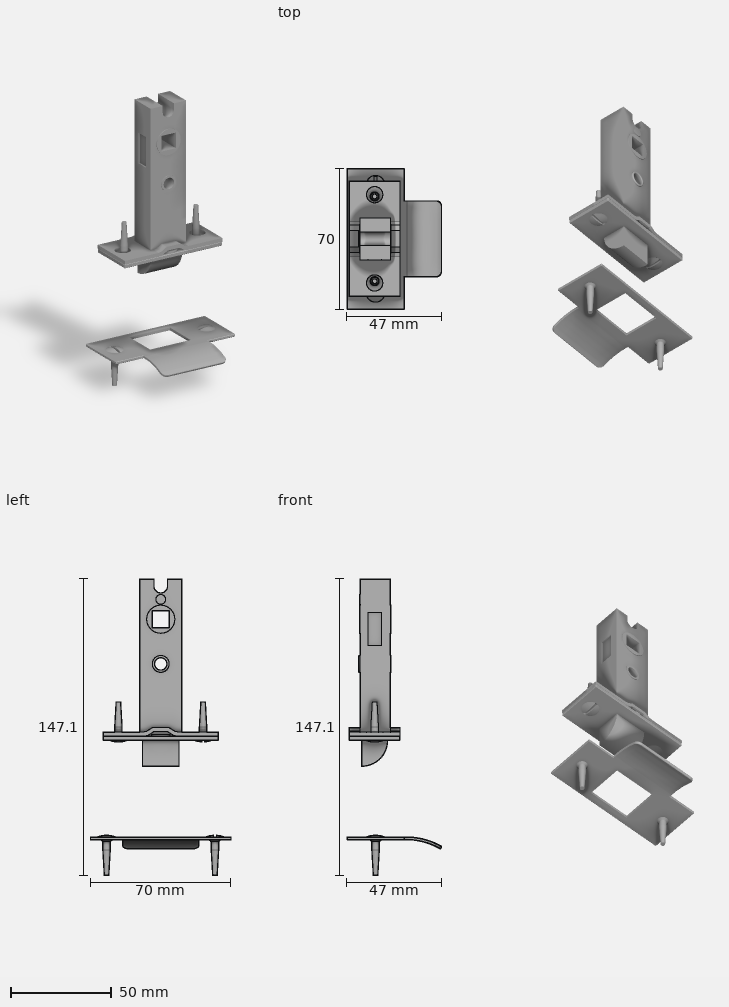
import cadquery as cq
import math


plate_width = 25.3
plate_length = 57.2
plate_thickness = 2.0
plate_bevel = 0.22
boss_radius = 4.5
boss_height = 0.9
forend_hole_diameter = 8.1
forend_hole_offset = 21.9
plate_screw_offset = 21.0

bridge_rise = 2.2
bridge_flat_half = 4.1
bridge_slope_half = 6.9
bridge_foot_half = 8.7
bridge_slope_bottom = 0.5
bridge_underside_inset = 0.6

case_x = 0.3
case_width = 15.0
case_depth = 20.9
case_top = 80.0
slot_width = 6.6
slot_depth = 6.8
stud_diameter = 4.9
stud_z = case_top - 10.0
hub_diameter = 14.0
hub_square = 8.4
hub_z = case_top - 19.9
hub_projection = 0.5
collar_diameter = 8.4
collar_bore = 6.0
collar_z = case_top - 42.1
collar_front_projection = 0.9
collar_back_projection = 0.5
window_x = 0.0
window_width = 6.8
window_height = 16.3
window_top = case_top - 16.6
window_depth = 0.9

bolt_left = -6.5
bolt_length = 13.0
bolt_depth = 18.2

strike_x = 0.5
strike_width = 28.5
strike_length = 70.0
strike_thickness = 1.5
strike_top = -48.0
strike_screw_offset = 27.0
opening_x = 0.0
opening_width = 19.4
opening_length = 23.8
lip_length = 37.8
lip_corner_radius = 3.0
lip_root = 13.2
lip_bend_start = 16.0
lip_end = 33.4
lip_angle = math.radians(31)

head_radius = 4.5
head_dome = 0.9
head_depth = 2.4
shank_radius = 1.9
tip_radius = 1.2
taper_start = 6.6
screw_length = 19.1
driver_slot_width = 1.3
driver_slot_depth = 0.5


def make_screw(slot_angle):
    """Screw pointing along +Z, with the rim of its head at Z = 0."""
    shank = (
        cq.Workplane("XZ")
        .moveTo(0, -head_dome)
        .lineTo(0, screw_length)
        .lineTo(tip_radius, screw_length)
        .lineTo(shank_radius, taper_start)
        .lineTo(shank_radius, head_depth)
        .lineTo(head_radius, 0)
    )
    dome_radius = (head_radius**2 + head_dome**2) / (2 * head_dome)
    half_angle = math.asin(head_radius / dome_radius) / 2
    dome_middle = (
        dome_radius * math.sin(half_angle),
        dome_radius * (1 - math.cos(half_angle)) - head_dome,
    )
    screw = shank.threePointArc(dome_middle, (0, -head_dome)).close().revolve(360, (0, 0), (0, 1))
    driver_slot = (
        cq.Workplane("XY")
        .box(2 * head_radius, driver_slot_width, head_dome + driver_slot_depth, centered=(True, True, False))
        .translate((0, 0, -head_dome))
        .rotate((0, 0, 0), (0, 0, 1), slot_angle)
    )
    return screw.cut(driver_slot)


def make_countersink(thickness):
    """Cutter for a screw head: a cone from Z = 0 narrowing through a plate of the given thickness."""
    depth = min(thickness, head_depth)
    end_radius = head_radius - (head_radius - shank_radius) * depth / head_depth
    return (
        cq.Workplane("XZ")
        .polyline([(0, 0), (head_radius, 0), (end_radius, depth), (0, depth)])
        .close()
        .revolve(360, (0, 0), (0, 1))
    )


def plate_screw_placed(shape, side):
    """Put a screw or its countersink into the faceplate, pointing up into the door."""
    return shape.translate((0, side * plate_screw_offset, 0))


def strike_screw_placed(shape, side):
    """Put a screw or its countersink into the strike plate, pointing down."""
    flipped = shape.rotate((0, 0, 0), (1, 0, 0), 180)
    return flipped.translate((strike_x, side * strike_screw_offset, strike_top))


def make_case():
    height = case_top - plate_thickness
    case = cq.Workplane("XY").box(case_width, case_depth, height, centered=(True, True, False))
    case = case.translate((case_x, 0, plate_thickness))
    left = case_x - case_width / 2
    right = case_x + case_width / 2

    def disc(diameter, z, start, end):
        return cq.Workplane("YZ", origin=(start, 0, z)).circle(diameter / 2).extrude(end - start)

    case = case.union(disc(stud_diameter, stud_z, left - hub_projection, case_x))
    case = case.union(disc(hub_diameter, hub_z, left - hub_projection, right + hub_projection))
    collar_start = left - collar_front_projection
    collar_end = right + collar_back_projection

    outer = collar_diameter / 2
    inner = collar_bore / 2
    rim_radius = (outer - inner) / 2
    collar = (
        cq.Workplane("XZ", origin=(0, 0, collar_z))
        .moveTo(collar_start + rim_radius, inner)
        .threePointArc((collar_start, inner + rim_radius), (collar_start + rim_radius, outer))
        .lineTo(collar_end, outer)
        .lineTo(collar_end, inner)
        .close()
        .revolve(360, (0, 0), (1, 0))
    )
    case = case.cut(disc(collar_diameter, collar_z, left, right)).union(collar)

    spindle_hole = cq.Workplane("XY").box(2 * case_width, hub_square, hub_square)
    case = case.cut(spindle_hole.translate((case_x, 0, hub_z)))

    slot_radius = slot_width / 2
    slot_floor = case_top - slot_depth
    slot = (
        cq.Workplane("YZ", origin=(left, 0, 0))
        .moveTo(-slot_radius, case_top)
        .lineTo(-slot_radius, slot_floor + slot_radius)
        .threePointArc((0, slot_floor), (slot_radius, slot_floor + slot_radius))
        .lineTo(slot_radius, case_top)
        .close()
        .extrude(case_width)
    )
    case = case.cut(slot)

    window = cq.Workplane("XY").box(window_width, window_depth, window_height)
    window_y = (window_depth - case_depth) / 2
    return case.cut(window.translate((window_x, window_y, window_top - window_height / 2)))


def make_bolt():
    """Quarter-round latch bolt that stands on the case and passes through the faceplate."""
    corner = bolt_length * math.sqrt(0.5)
    return (
        cq.Workplane("XZ", origin=(bolt_left, bolt_depth / 2, 0))
        .moveTo(0, plate_thickness)
        .lineTo(0, -bolt_length)
        .threePointArc((corner, -corner), (bolt_length, 0))
        .lineTo(bolt_length, plate_thickness)
        .close()
        .extrude(bolt_depth)
    )


def make_faceplate(case, bolt):
    """Bevelled plate with a half-round boss against each broad face of the case, under the bridge."""
    plate = cq.Workplane("XY").box(plate_width, plate_length, plate_thickness, centered=(True, True, False))
    plate = plate.edges().chamfer(plate_bevel)
    bosses = (
        cq.Workplane("XY", origin=(case_x, 0, plate_thickness))
        .pushPoints([(-case_width / 2, 0), (case_width / 2, 0)])
        .circle(boss_radius)
        .extrude(boss_height)
    )
    plate = plate.union(bosses.cut(case)).cut(bolt)
    for side in (-1, 1):
        plate = plate.cut(plate_screw_placed(make_countersink(plate_thickness), side))
    return plate


def make_forend(case):
    """Plate with a raised bridge across its middle; the case stands through it."""
    half_length = plate_length / 2

    def side_profile(inset, base):
        half_bridge = [
            (bridge_foot_half - inset, base),
            (bridge_slope_half - inset, base + bridge_slope_bottom),
            (bridge_flat_half - inset, base + bridge_rise),
        ]
        mirrored = [(-y, z) for y, z in reversed(half_bridge)]
        return [(half_length, base), *half_bridge, *mirrored, (-half_length, base)]

    underside = side_profile(bridge_underside_inset, plate_thickness)
    top_side = side_profile(0, 2 * plate_thickness)
    plate = (
        cq.Workplane("YZ", origin=(-plate_width / 2, 0, 0))
        .polyline(underside + top_side[::-1])
        .close()
        .extrude(plate_width)
    )
    holes = (
        cq.Workplane("XY", origin=(0, 0, plate_thickness))
        .pushPoints([(0, -forend_hole_offset), (0, forend_hole_offset)])
        .circle(forend_hole_diameter / 2)
        .extrude(plate_thickness)
    )
    case_window = cq.Workplane("XY").box(case_width, case_depth, case_top).translate((case_x, 0, 0))
    return plate.cut(holes).cut(case_window)


def make_lip():
    """Lip of the strike plate: flat where it leaves the plate, then bent down along an arc."""
    outer_radius = (lip_end - lip_bend_start) / math.sin(lip_angle)
    inner_radius = outer_radius - strike_thickness
    centre_z = strike_top - outer_radius
    strike_bottom = strike_top - strike_thickness

    def bend_point(radius, angle):
        return lip_bend_start + radius * math.sin(angle), centre_z + radius * math.cos(angle)

    bent_sheet = (
        cq.Workplane("XZ", origin=(0, lip_length / 2, 0))
        .moveTo(lip_root, strike_top)
        .lineTo(lip_bend_start, strike_top)
        .threePointArc(bend_point(outer_radius, lip_angle / 2), bend_point(outer_radius, lip_angle))
        .lineTo(*bend_point(inner_radius, lip_angle))
        .threePointArc(bend_point(inner_radius, lip_angle / 2), (lip_bend_start, strike_bottom))
        .lineTo(lip_root, strike_bottom)
        .close()
        .extrude(lip_length)
    )
    lip = bent_sheet.faces(">X").edges("not |Y").fillet(lip_corner_radius)

    plain_lengths = (strike_thickness, lip_length)
    rim = [
        edge
        for edge in lip.edges().vals()
        if not any(math.isclose(edge.Length(), length, rel_tol=1e-4) for length in plain_lengths)
    ]
    return lip.newObject(rim).chamfer(plate_bevel)


def make_strike():
    plate = cq.Workplane("XY").box(strike_width, strike_length, strike_thickness).edges().chamfer(plate_bevel)
    strike = plate.translate((strike_x, 0, strike_top - strike_thickness / 2)).union(make_lip())
    opening = cq.Workplane("XY").box(opening_width, opening_length, 4 * strike_thickness)
    strike = strike.cut(opening.translate((opening_x, 0, strike_top)))
    for side in (-1, 1):
        strike = strike.cut(strike_screw_placed(make_countersink(strike_thickness), side))
    return strike


case = make_case()
bolt = make_bolt()
faceplate = make_faceplate(case, bolt)
forend = make_forend(case)
strike = make_strike()

screws = []
for side, slot_angle in ((-1, 0), (1, 90)):
    screws.append(plate_screw_placed(make_screw(slot_angle), side).val())
    screws.append(strike_screw_placed(make_screw(slot_angle), side).val())

result = cq.Compound.makeCompound(
    [case.val(), bolt.val(), faceplate.val(), forend.val(), strike.val(), *screws]
)